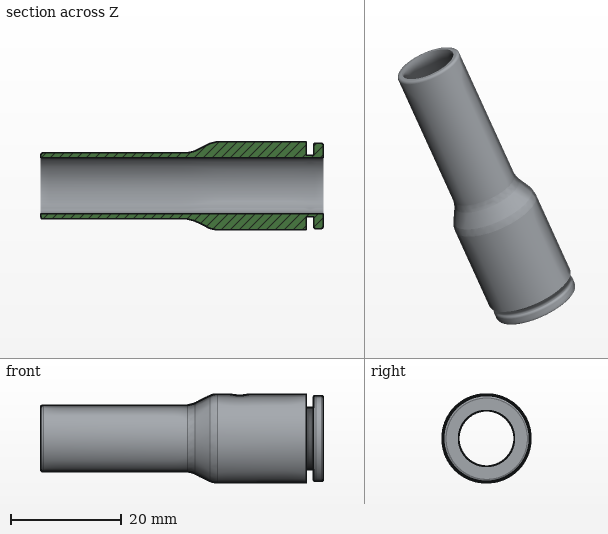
import cadquery as cq

total_length = 50.95
cone_start = 27.1
cone_end = 31.1
body_end = 47.9
collar_thickness = 1.8
collar_start = total_length - collar_thickness

bore_diameter = 10.0
stem_diameter = 12.05
body_diameter = 16.0
neck_diameter = 11.2
collar_diameter = 15.5

stem_end_radius = 0.45
cone_blend_radius = 3.0
collar_edge_radius = 0.4

recess_diameter = 3.55
recess_depth = 0.3
recess_x = 35.9

selection_margin = 0.5


def rod(start, end, diameter):
    """Solid cylinder along X between two stations."""
    return cq.Workplane("YZ", origin=(start, 0, 0)).circle(diameter / 2).extrude(end - start)


def stem_and_body():
    """Stem, blended cone and body turned about X."""
    stem_radius = stem_diameter / 2
    body_radius = body_diameter / 2
    turned = (
        cq.Workplane("XZ")
        .moveTo(0, 0)
        .lineTo(0, stem_radius)
        .lineTo(cone_start, stem_radius)
        .lineTo(cone_end, body_radius)
        .lineTo(body_end, body_radius)
        .lineTo(body_end, 0)
        .close()
        .revolve(360, (0, 0, 0), (1, 0, 0))
    )
    cone_zone = cq.selectors.BoxSelector(
        (cone_start - selection_margin, -body_diameter, -body_diameter),
        (cone_end + selection_margin, body_diameter, body_diameter),
        boundingbox=True,
    )
    turned = turned.edges(cone_zone).edges("%CIRCLE").fillet(cone_blend_radius)
    return turned.faces("<X").edges().fillet(stem_end_radius)


def release_collar():
    """Rounded release collar on its narrower neck."""
    collar = rod(collar_start, total_length, collar_diameter)
    collar = collar.edges("%CIRCLE").fillet(collar_edge_radius)
    return rod(body_end, collar_start, neck_diameter).union(collar)


def mark_recess():
    """Flat-bottomed round cutter reaching just below the top of the body."""
    floor_z = body_diameter / 2 - recess_depth
    return cq.Workplane("XY", origin=(recess_x, 0, floor_z)).circle(recess_diameter / 2).extrude(body_diameter)


result = (
    stem_and_body()
    .union(release_collar())
    .cut(mark_recess())
    .cut(rod(0, total_length, bore_diameter))
)